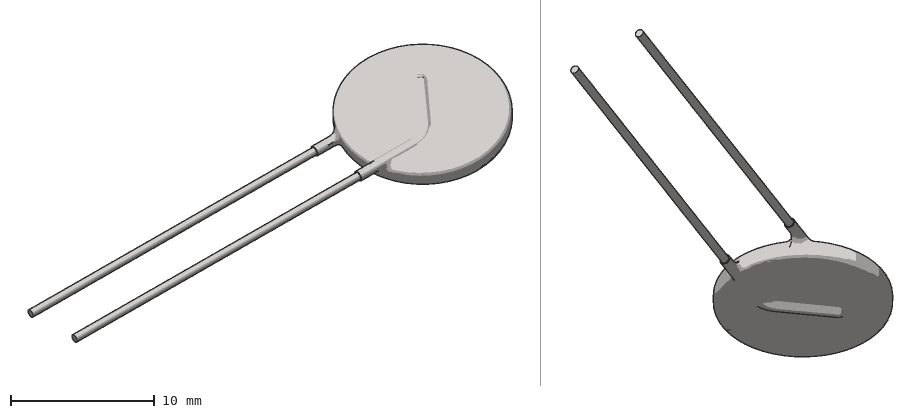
import cadquery as cq
import math

overall_length = 38.95
overall_height = 2.4

disc_diameter = 12.5
disc_radius = disc_diameter / 2
disc_thickness = 1.5
disc_edge_fillet = 0.5

lead_radius = 0.3
sleeve_radius = 0.4
lead_spacing = 4.95
lead_x = lead_spacing / 2
lead_z = overall_height / 2 - sleeve_radius
sleeve_end_y = -7.65
lead_end_y = disc_radius - overall_length

blend_radius = 0.9
seam_tolerance = 3.9e-05

bend_radius = 2.0
bend_start_y = -2.7
slant_angle = 34.0
slant_length = 4.4

bend_center_x = lead_x - bend_radius
bend_angle = 90 - slant_angle


def point_on_bend(angle):
    """Point on the bend's centre line, at an angle in degrees from +X."""
    return (
        bend_center_x + bend_radius * math.cos(math.radians(angle)),
        bend_start_y + bend_radius * math.sin(math.radians(angle)),
    )


bend_end = point_on_bend(bend_angle)
lead_tip = (
    bend_end[0] - slant_length * math.cos(math.radians(slant_angle)),
    bend_end[1] + slant_length * math.sin(math.radians(slant_angle)),
)


def bent_rod(radius, start_y):
    """Round rod along the lead path, from the straight leg's end at start_y to the tip."""
    path = (
        cq.Workplane("XY", origin=(0, 0, lead_z))
        .moveTo(lead_x, start_y)
        .lineTo(lead_x, bend_start_y)
        .threePointArc(point_on_bend(bend_angle / 2), bend_end)
        .lineTo(*lead_tip)
    )
    section = cq.Workplane("XZ", origin=(lead_x, start_y, lead_z)).circle(radius)
    return section.sweep(path)


def opposite(body):
    """Copy for the second lead: half a turn about the Y axis."""
    return body.rotate((0, 0, 0), (0, 1, 0), 180)


def make_disc():
    """Flat disc with both rims rounded."""
    return (
        cq.Workplane("XY")
        .circle(disc_radius)
        .extrude(disc_thickness / 2, both=True)
        .faces("|Z")
        .edges()
        .fillet(disc_edge_fillet)
    )


def make_lead():
    """Bare wire from its free end to the tip inside the coating."""
    return bent_rod(lead_radius, lead_end_y)


def make_sleeve():
    """Coating over one lead, with a rounded end at the lead's tip."""
    rounded_end = cq.Workplane("XY", origin=(*lead_tip, lead_z)).sphere(sleeve_radius)
    return bent_rod(sleeve_radius, sleeve_end_y).union(rounded_end)


def blend_sleeve(body, disc, sleeve):
    """Round the inside corner where a sleeve meets the disc."""
    def on_seam(edge):
        middle = cq.Vertex.makeVertex(*edge.positionAt(0.5).toTuple())
        return all(solid.val().distance(middle) < seam_tolerance for solid in (disc, sleeve))

    return body.edges().filter(on_seam).fillet(blend_radius)


def make_coating(leads):
    """Disc and both sleeves in one solid, bored out for the leads."""
    disc = make_disc()
    sleeve = make_sleeve()
    coating = disc
    for covering in (sleeve, opposite(sleeve)):
        coating = blend_sleeve(coating.union(covering), disc, covering)
    for lead in leads:
        coating = coating.cut(lead)
    return coating


lead = make_lead()
leads = [lead, opposite(lead)]
coating = make_coating(leads)

result = cq.Compound.makeCompound([coating.solids().val(), *(body.val() for body in leads)])